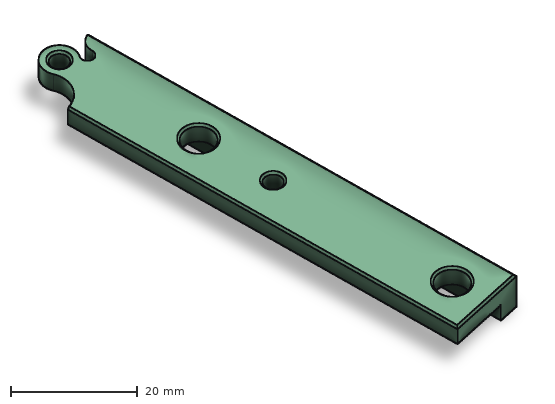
import cadquery as cq
import math

plate_end = 86.0
plate_width = 15.0
plate_thickness = 3.75
total_height = 7.25
rib_height = total_height - plate_thickness
half_width = plate_width / 2
edge_chamfer = 0.4

eye_radius = 3.3
slot_radius = 1.25
slot_x = 2.85
relief_radius = 4.75
relief_end_x = 7.6

pin_hole_diameter = 3.4
bolt_hole_diameter = 6.0
hole_chamfer = 0.4
holes = [
    (0.0, pin_hole_diameter),
    (28.0, bolt_hole_diameter),
    (43.0, pin_hole_diameter),
    (79.0, bolt_hole_diameter),
]

slot_y = math.sqrt((eye_radius + slot_radius) ** 2 - slot_x**2)
slot_center = (slot_x, slot_y)

corner_rise = half_width - slot_y
corner_radius = (slot_x**2 + corner_rise**2 - slot_radius**2) / (2 * (slot_x + slot_radius))
corner_center = (corner_radius, half_width)

relief_reach = eye_radius + relief_radius
relief_end = (relief_end_x, -half_width)
end_distance = math.hypot(*relief_end)
relief_cosine = (relief_reach**2 + end_distance**2 - relief_radius**2) / (2 * relief_reach * end_distance)
relief_angle = math.atan2(relief_end[1], relief_end[0]) - math.acos(relief_cosine)


def at_angle(center, angle, radius):
    """Point on the circle about center at the given angle."""
    return (center[0] + radius * math.cos(angle), center[1] + radius * math.sin(angle))


def toward(center, target, radius):
    """Point on the circle about center that faces target."""
    angle = math.atan2(target[1] - center[1], target[0] - center[0])
    return at_angle(center, angle, radius)


def arc_middle(center, start, end, radius):
    """Middle of the shorter arc from start to end."""
    chord_middle = ((start[0] + end[0]) / 2, (start[1] + end[1]) / 2)
    return toward(center, chord_middle, radius)


eye_center = (0.0, 0.0)
relief_center = at_angle(eye_center, relief_angle, relief_reach)

corner_start = (0.0, half_width)
corner_to_slot = toward(slot_center, corner_center, slot_radius)
corner_middle = arc_middle(corner_center, corner_start, corner_to_slot, corner_radius)
slot_tip = (slot_x + slot_radius, slot_y)
slot_to_eye = toward(slot_center, eye_center, slot_radius)
eye_tip = (-eye_radius, 0.0)
eye_to_relief = toward(eye_center, relief_center, eye_radius)
relief_middle = arc_middle(relief_center, eye_to_relief, relief_end, relief_radius)


def make_plate():
    """Upper plate with the eye, slot and relief at its front end."""
    return (
        cq.Workplane("XY", origin=(0, 0, rib_height))
        .moveTo(*corner_start)
        .threePointArc(corner_middle, corner_to_slot)
        .threePointArc(slot_tip, slot_to_eye)
        .threePointArc(eye_tip, eye_to_relief)
        .threePointArc(relief_middle, relief_end)
        .lineTo(plate_end, -half_width)
        .lineTo(plate_end, half_width)
        .close()
        .extrude(plate_thickness)
    )


def make_rib():
    """Rib under the +Y side; its end follows the corner round and the slot end."""
    slot_upper_middle = arc_middle(slot_center, corner_to_slot, slot_tip, slot_radius)
    return (
        cq.Workplane("XY")
        .moveTo(*corner_start)
        .threePointArc(corner_middle, corner_to_slot)
        .threePointArc(slot_upper_middle, slot_tip)
        .lineTo(plate_end, slot_y)
        .lineTo(plate_end, half_width)
        .close()
        .extrude(rib_height)
    )


def chamfer_top_edges(body):
    """Bevel the straight upper edges; the curved front end stays sharp."""
    straight_edges = body.faces(">Z").edges("%LINE")
    return straight_edges.chamfer(edge_chamfer)


def make_hole_cutter(x, diameter):
    """Through bore with a 45 degree countersink at the upper face."""
    radius = diameter / 2
    profile = (
        cq.Workplane("XZ", origin=(x, 0, 0))
        .lineTo(radius, 0)
        .lineTo(radius, total_height - hole_chamfer)
        .lineTo(radius + hole_chamfer, total_height)
        .lineTo(0, total_height)
        .close()
    )
    return profile.revolve(360, (0, 0), (0, 1))


result = chamfer_top_edges(make_plate().union(make_rib()))
for hole_x, hole_diameter in holes:
    result = result.cut(make_hole_cutter(hole_x, hole_diameter))